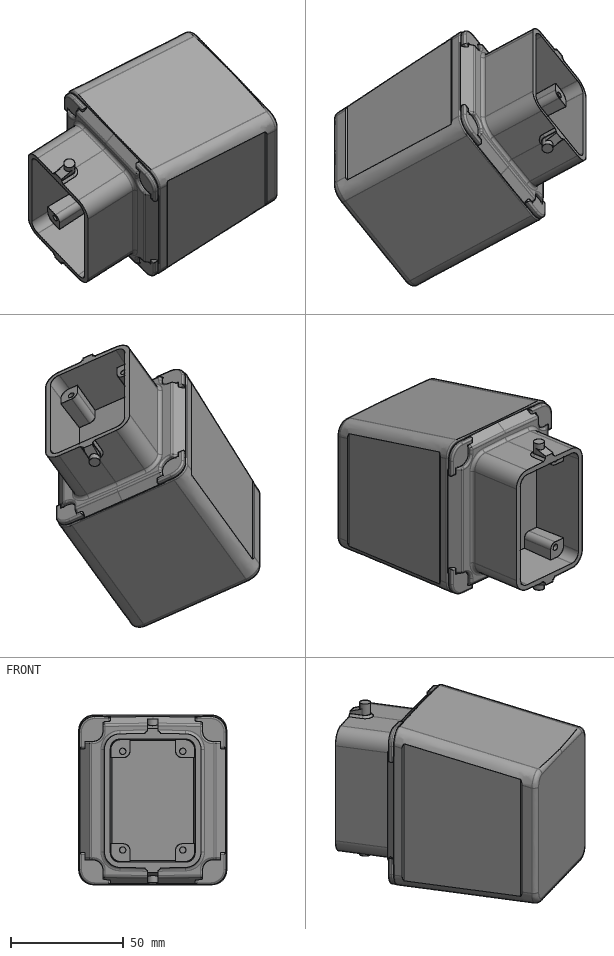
import cadquery as cq
import math


TOTAL_LENGTH = 99.49
BODY_WIDTH = 66.01
BODY_BOTTOM = -37.5
BODY_TOP = 38.28
QUADRANTS = [(-1, -1), (-1, 1), (1, -1), (1, 1)]
CROWN = 0.4

BODY_LENGTH = 68.0
ROOF_ANGLE = 10.0
BODY_CORNER_RADIUS = 6.8
BACK_FILLET = 2.4
BODY_FRONT_FILLET = 0.6

PANEL_START = 7.0
PANEL_END = 63.8
PANEL_DEPTH = 0.4
PANEL_SLOPE_RUN = 0.8

FLANGE_INSET = 0.3
FLANGE_WIDTH = BODY_WIDTH - 2 * FLANGE_INSET
FLANGE_HEIGHT = -2 * BODY_BOTTOM
FLANGE_FACE = 72.6
FLANGE_SIDE_INSET = 4.85
FLANGE_TOP_INSET = 3.35
FLANGE_EDGE_FILLET = 1.5

PAD_FACE = 70.7
NOTCH_X = 22.2
NOTCH_Z = 26.4
NOTCH_RADIUS = 4.6
NOTCH_RIM_FILLET = 1.0
PAD_ARM_WIDTH = 2.6
PAD_ARM_LENGTH = 3.3
PAD_EDGE_FILLET = 0.9

SPIGOT_WIDTH = 43.1
SPIGOT_HEIGHT = 60.1
SPIGOT_CORNER_RADIUS = 7.0
SPIGOT_BASE_FILLET = 1.5
WALL = 2.6
CAVITY_FLOOR = 74.7
CAVITY_CORNER_RADIUS = SPIGOT_CORNER_RADIUS - WALL
CAVITY_DRAFT = 1.7

POST_TIP = 90.7
POST_INNER_X = 10.2
POST_INNER_Z = 19.2
POST_RADIUS = 2.9
POST_HOLE_X = 13.4
POST_HOLE_Z = 22.0
POST_HOLE_DIAMETER = 2.8
POST_HOLE_DEPTH = 10.0

PIN_AXIS = 93.1
PIN_DIAMETER = 4.9
PIN_TOP = 36.5
PIN_BASE_WIDTH = 7.6
PIN_BASE_TOP = 31.1
PIN_BASE_CHAMFER = 1.2
RAMP_WIDTH = 4.8
RAMP_HIGH = 34.2
RAMP_LOW = 32.1


def at_depth(depth):
    """Workplane facing -Y at a distance in front of the back face."""
    return cq.Workplane("XZ", origin=(0, -depth, 0))


def crowned_outline(plane, width, height):
    """Rectangle whose top and bottom sides rise to a low ridge at X = 0."""
    x = width / 2
    ridge = height / 2
    eave = ridge - CROWN
    return plane.polyline(
        [(-x, -eave), (0, -ridge), (x, -eave), (x, eave), (0, ridge), (-x, eave)]
    ).close()


def round_sides(solid, radius):
    """Round the four lengthwise edges at the sides of a straight block."""
    return solid.faces("<X or >X").edges("|Y").fillet(radius)


def mirrored(solid, sx, sz):
    """Carry a solid from the +X +Z quadrant to the one with these signs."""
    if sx < 0:
        solid = solid.mirror("YZ")
    if sz < 0:
        solid = solid.mirror("XY")
    return solid


def body_section(plane, ridge):
    """Flat-bottomed section with a low ridge along its top."""
    x = BODY_WIDTH / 2
    eave = ridge - CROWN
    return plane.polyline(
        [(-x, BODY_BOTTOM), (x, BODY_BOTTOM), (x, eave), (0, ridge), (-x, eave)]
    ).close()


def make_body():
    """Crowned wedge with rounded edges, its ridge then planed off by the flat roof."""
    drop = BODY_LENGTH * math.tan(math.radians(ROOF_ANGLE))
    planed = CROWN * (1 - 2 * BODY_CORNER_RADIUS / BODY_WIDTH)
    ridge = BODY_TOP + planed
    back = body_section(at_depth(0), ridge - drop)
    body = body_section(back.workplane(offset=BODY_LENGTH), ridge).loft(ruled=True)
    body = body.faces("<X or >X").edges("not(<Y or >Y)").fillet(BODY_CORNER_RADIUS)
    body = body.faces(">Y").edges().fillet(BACK_FILLET)
    body = body.faces("<Y").edges().fillet(BODY_FRONT_FILLET)
    above_roof = (
        cq.Workplane("XY")
        .box(2 * BODY_WIDTH, 3 * BODY_LENGTH, BODY_TOP, centered=(True, True, False))
        .rotate((0, 0, 0), (1, 0, 0), -ROOF_ANGLE)
        .translate((0, -BODY_LENGTH, BODY_TOP))
    )
    return body.cut(above_roof)


def panel_cutter(side):
    """Slab that planes one side of the body over its full height, with sloping ends."""
    outer = side * BODY_WIDTH / 2
    floor = outer - side * PANEL_DEPTH
    return (
        cq.Workplane("XY", origin=(0, 0, 2 * BODY_BOTTOM))
        .polyline([
            (outer, -PANEL_START),
            (floor, -PANEL_START - PANEL_SLOPE_RUN),
            (floor, -PANEL_END + PANEL_SLOPE_RUN),
            (outer, -PANEL_END),
        ])
        .close()
        .extrude(4 * BODY_TOP)
    )


def make_notch():
    """Cutter for a corner of the flange, with a rounded inner corner."""
    size = BODY_WIDTH / 2
    block = (
        at_depth(BODY_LENGTH)
        .center(NOTCH_X, NOTCH_Z)
        .rect(size, size, centered=False)
        .extrude(FLANGE_FACE - BODY_LENGTH)
    )
    return block.edges("|Y and <X and <Z").fillet(NOTCH_RADIUS)


def make_flange():
    """Sloping crowned flange with rounded edges and a notch in each corner."""
    base = crowned_outline(at_depth(BODY_LENGTH), FLANGE_WIDTH, FLANGE_HEIGHT)
    face = crowned_outline(
        base.workplane(offset=FLANGE_FACE - BODY_LENGTH),
        FLANGE_WIDTH - 2 * FLANGE_SIDE_INSET,
        FLANGE_HEIGHT - 2 * FLANGE_TOP_INSET,
    )
    flange = face.loft(ruled=True)
    flange = flange.faces("<Y").edges().fillet(FLANGE_EDGE_FILLET)
    notch = make_notch()
    for sx, sz in QUADRANTS:
        flange = flange.cut(mirrored(notch, sx, sz))
    notch_rims = flange.faces("<Y").edges("%CIRCLE")
    return notch_rims.fillet(NOTCH_RIM_FILLET)


def make_pad():
    """Corner pad in the +X +Z quadrant, filling the notch and reaching past it with two arms."""
    x = FLANGE_WIDTH / 2
    z = FLANGE_HEIGHT / 2
    pad = (
        at_depth(BODY_LENGTH)
        .moveTo(NOTCH_X - PAD_ARM_LENGTH, z)
        .lineTo(NOTCH_X - PAD_ARM_LENGTH, z - PAD_ARM_WIDTH)
        .lineTo(NOTCH_X, z - PAD_ARM_WIDTH)
        .lineTo(NOTCH_X, NOTCH_Z + NOTCH_RADIUS)
        .radiusArc((NOTCH_X + NOTCH_RADIUS, NOTCH_Z), -NOTCH_RADIUS)
        .lineTo(x - PAD_ARM_WIDTH, NOTCH_Z)
        .lineTo(x - PAD_ARM_WIDTH, NOTCH_Z - PAD_ARM_LENGTH)
        .lineTo(x, NOTCH_Z - PAD_ARM_LENGTH)
        .lineTo(x, z - BODY_CORNER_RADIUS)
        .radiusArc((x - BODY_CORNER_RADIUS, z), -BODY_CORNER_RADIUS)
        .close()
        .extrude(PAD_FACE - BODY_LENGTH)
    )
    outer_rim = pad.faces(">X or >Z or <X or <Z").edges("<Y or >Y")
    return outer_rim.fillet(PAD_EDGE_FILLET)


def make_spigot():
    """Solid outer shape of the spigot."""
    outline = crowned_outline(at_depth(BODY_LENGTH), SPIGOT_WIDTH, SPIGOT_HEIGHT)
    spigot = outline.extrude(TOTAL_LENGTH - BODY_LENGTH)
    return round_sides(spigot, SPIGOT_CORNER_RADIUS)


def make_cavity():
    """Inside of the spigot, narrowing slightly toward its floor."""
    depth = TOTAL_LENGTH - CAVITY_FLOOR
    shrink = 2 * depth * math.tan(math.radians(CAVITY_DRAFT))
    width = SPIGOT_WIDTH - 2 * WALL
    height = SPIGOT_HEIGHT - 2 * WALL
    floor = at_depth(CAVITY_FLOOR).rect(width - shrink, height - shrink)
    mouth = floor.workplane(offset=depth).rect(width, height)
    cavity = mouth.loft(ruled=True)
    return cavity.faces("<X or >X").edges("not(<Y or >Y)").fillet(CAVITY_CORNER_RADIUS)


def make_post():
    """Screw post in the +X +Z corner of the cavity, sunk into the spigot walls."""
    width = SPIGOT_WIDTH / 2 - WALL / 2 - POST_INNER_X
    height = SPIGOT_HEIGHT / 2 - WALL / 2 - POST_INNER_Z
    post = (
        at_depth(CAVITY_FLOOR)
        .center(POST_INNER_X, POST_INNER_Z)
        .rect(width, height, centered=False)
        .extrude(POST_TIP - CAVITY_FLOOR)
    )
    post = post.edges("|Y and <X and <Z").fillet(POST_RADIUS)
    return post.edges("|Y and >X and >Z").fillet(SPIGOT_CORNER_RADIUS - WALL / 2)


def make_post_hole():
    """Blind screw hole in the tip of the +X +Z post."""
    return (
        at_depth(POST_TIP)
        .center(POST_HOLE_X, POST_HOLE_Z)
        .circle(POST_HOLE_DIAMETER / 2)
        .extrude(-POST_HOLE_DEPTH)
    )


def make_locking_pin():
    """Pin above the spigot, with its chamfered foot and the ramp rising to it from the mouth."""
    root = SPIGOT_HEIGHT / 2 - CROWN - WALL / 2
    foot_radius = PIN_BASE_WIDTH / 2
    foot = (
        cq.Workplane("XY", origin=(0, -PIN_AXIS, root))
        .moveTo(foot_radius, 0)
        .radiusArc((-foot_radius, 0), -foot_radius)
        .lineTo(-foot_radius, PIN_AXIS - TOTAL_LENGTH)
        .lineTo(foot_radius, PIN_AXIS - TOTAL_LENGTH)
        .close()
        .extrude(PIN_BASE_TOP - root)
    )
    foot = foot.faces(">Z").edges("not <Y").chamfer(PIN_BASE_CHAMFER)
    pin = (
        cq.Workplane("XY", origin=(0, -PIN_AXIS, root))
        .circle(PIN_DIAMETER / 2)
        .extrude(PIN_TOP - root)
    )
    ramp = (
        cq.Workplane("YZ")
        .polyline([
            (-PIN_AXIS, root),
            (-TOTAL_LENGTH, root),
            (-TOTAL_LENGTH, RAMP_LOW),
            (-PIN_AXIS, RAMP_HIGH),
        ])
        .close()
        .extrude(RAMP_WIDTH / 2, both=True)
    )
    return foot.union(pin).union(ramp)


def base_seam():
    """Selector for the edges where the spigot leaves the flange face."""
    margin = 0.1
    x = SPIGOT_WIDTH / 2 + margin
    z = SPIGOT_HEIGHT / 2 + margin
    return cq.selectors.BoxSelector(
        (-x, -FLANGE_FACE - margin, -z), (x, -FLANGE_FACE + margin, z), boundingbox=True
    )


def build():
    """Join the body, flange, spigot, pads and pins, then hollow the spigot."""
    hood = make_body()
    for side in (-1, 1):
        hood = hood.cut(panel_cutter(side))

    hood = hood.union(make_flange())
    hood = hood.union(make_spigot())
    hood = hood.edges(base_seam()).fillet(SPIGOT_BASE_FILLET)

    pad = make_pad()
    for sx, sz in QUADRANTS:
        hood = hood.union(mirrored(pad, sx, sz))

    pin = make_locking_pin()
    for sz in (-1, 1):
        hood = hood.union(mirrored(pin, 1, sz))

    hood = hood.cut(make_cavity())
    post = make_post()
    hole = make_post_hole()
    for sx, sz in QUADRANTS:
        hood = hood.union(mirrored(post, sx, sz)).cut(mirrored(hole, sx, sz))
    return hood


result = build()